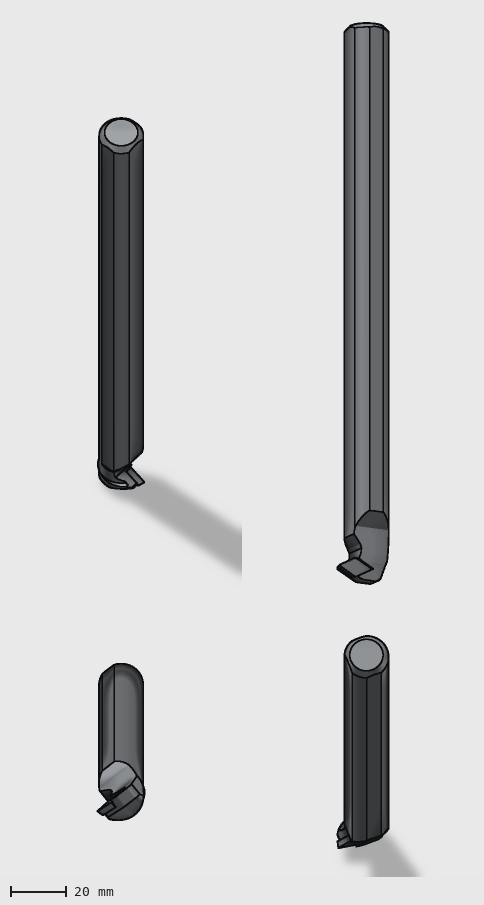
import cadquery as cq
import math

TOP_Z = 200.0
BOTTOM_Z = -5.05
LENGTH = TOP_Z - BOTTOM_Z
SHANK_RADIUS = 8.0
SIDE_FLAT_X = 7.0
BACK_FLAT_Y = 7.5
FRONT_FLAT_Y = -7.5
FRONT_FLAT_BOTTOM_Z = 6.0
TOP_CHAMFER = 2.0
FAR = 30.0

HEAD_TOP_Z = 3.0
COLLAR_FLARE = 0.45
FOOT_RADIUS = 9.45
FOOT_TOP_Z = 0.7
FOOT_FRONT_Y = -9.1
FOOT_CENTER_X = FOOT_RADIUS - SHANK_RADIUS
FOOT_CENTER_Y = FOOT_FRONT_Y + FOOT_RADIUS
WEB_LEFT_X = 5.0
WEB_FRONT_Y = -5.4
HEAD_NOSE_X = 9.3

GULLET_FLOOR_Y = 0.8
GULLET_FOOT_Z = 1.5
GULLET_LOW = (1.2, 3.5)
GULLET_BEND = (4.3, 13.5)
GULLET_TOP_Z = 19.0

POINT_ANGLE = 55.0
INSCRIBED_RADIUS = 6.35 / 2
NOSE_RADIUS = 0.4
INSERT_THICKNESS = 2.38
CLEARANCE_ANGLE = 7.0
TIP_X = 10.89
TIP_Z = -0.6
HALF_ANGLE = math.radians(POINT_ANGLE / 2)
EDGE_SLOPE = math.tan(HALF_ANGLE)
CORNER_X = TIP_X + NOSE_RADIUS * (1 / math.sin(HALF_ANGLE) - 1)
INSERT_HALF_WIDTH = INSCRIBED_RADIUS / math.sin(HALF_ANGLE)
INSERT_HALF_HEIGHT = INSCRIBED_RADIUS / math.cos(HALF_ANGLE)
INSERT_CENTER_X = CORNER_X - INSERT_HALF_WIDTH
INSERT_OUTLINE = [
    (CORNER_X, TIP_Z),
    (INSERT_CENTER_X, TIP_Z + INSERT_HALF_HEIGHT),
    (INSERT_CENTER_X - INSERT_HALF_WIDTH, TIP_Z),
    (INSERT_CENTER_X, TIP_Z - INSERT_HALF_HEIGHT),
]

NECK_START = (SIDE_FLAT_X, 10.7)
NECK_BEND = (3.9, 7.6)
NECK_X = 3.1
NECK_UPPER_Z = 6.2
NECK_LOWER_Z = 4.2
UPPER_FLANK_INSET = 0.45

BEVEL_ANGLE = math.radians(21)
LOWER_FLANK_INSET = 0.3
UNDERSIDE_LEFT_X = -4.2
UNDERSIDE_LEFT_ANGLE = math.radians(45)
UNDERSIDE_ROUNDING = 1.0
RELIEF_START_Y = -4.0
RELIEF_ANGLE = math.radians(30)


def prism_along_y(points, y_from, y_to):
    """Prism of an (x, z) outline between two y values."""
    return cq.Workplane("XZ", origin=(0, y_to, 0)).polyline(points).close().extrude(y_to - y_from)


def make_shank():
    """Round bar with an end chamfer and flats on +X, +Y and -Y."""
    bar = cq.Workplane("XY", origin=(0, 0, BOTTOM_Z)).circle(SHANK_RADIUS).extrude(LENGTH)
    bar = bar.faces(">Z").chamfer(TOP_CHAMFER)
    bar = bar.cut(cq.Workplane("XY").box(FAR, 2 * FAR, 3 * LENGTH).translate((SIDE_FLAT_X + FAR / 2, 0, 0)))
    bar = bar.cut(cq.Workplane("XY").box(2 * FAR, FAR, 3 * LENGTH).translate((0, BACK_FLAT_Y + FAR / 2, 0)))
    front_cut = (
        cq.Workplane("XY", origin=(0, FRONT_FLAT_Y - FAR / 2, FRONT_FLAT_BOTTOM_Z))
        .rect(2 * FAR, FAR)
        .extrude(LENGTH)
    )
    return bar.cut(front_cut)


def make_collar():
    """Cone that flares from the shank down to the foot."""
    return (
        cq.Workplane("XY", origin=(0, 0, HEAD_TOP_Z))
        .circle(SHANK_RADIUS)
        .workplane(offset=FOOT_TOP_Z - HEAD_TOP_Z)
        .circle(SHANK_RADIUS + COLLAR_FLARE)
        .loft()
    )


def make_foot_disc(top_z):
    return (
        cq.Workplane("XY", origin=(FOOT_CENTER_X, FOOT_CENTER_Y, BOTTOM_Z))
        .circle(FOOT_RADIUS)
        .extrude(top_z - BOTTOM_Z)
    )


def make_web():
    """Taller part of the foot that backs the insert's upper edge."""
    keep = cq.Workplane("XY").box(FAR, FAR, FAR, centered=False).translate((WEB_LEFT_X, WEB_FRONT_Y, -FAR / 2))
    return make_foot_disc(HEAD_TOP_Z).intersect(keep)


def make_gullet():
    points = [
        (GULLET_FLOOR_Y, -FAR),
        (GULLET_FLOOR_Y, GULLET_FOOT_Z),
        GULLET_LOW,
        GULLET_BEND,
        (BACK_FLAT_Y, GULLET_TOP_Z),
        (FAR, GULLET_TOP_Z),
        (FAR, -FAR),
    ]
    return cq.Workplane("YZ").polyline(points).close().extrude(FAR, both=True)


def make_neck_cut():
    """Clearance beside the neck, over the upper flank and ahead of the head's blunt nose."""
    flank_end_x = CORNER_X - UPPER_FLANK_INSET / math.sin(HALF_ANGLE)
    flank_start_x = flank_end_x - (HEAD_TOP_Z - TIP_Z) / EDGE_SLOPE
    nose_z = TIP_Z + (flank_end_x - HEAD_NOSE_X) * EDGE_SLOPE
    points = [
        NECK_START,
        NECK_BEND,
        (NECK_X, NECK_UPPER_Z),
        (NECK_X, NECK_LOWER_Z),
        (flank_start_x, HEAD_TOP_Z),
        (HEAD_NOSE_X, nose_z),
        (HEAD_NOSE_X, -FAR),
        (FAR, -FAR),
        (FAR, NECK_START[1]),
    ]
    return prism_along_y(points, -FAR, FAR)


def make_left_bevel():
    run = (HEAD_TOP_Z + FAR) * math.tan(BEVEL_ANGLE)
    points = [
        (-SHANK_RADIUS, HEAD_TOP_Z),
        (-SHANK_RADIUS + run, -FAR),
        (-FAR, -FAR),
        (-FAR, HEAD_TOP_Z),
    ]
    return prism_along_y(points, -FAR, FAR)


def make_underside_face():
    """Area below the head on the plane where the relief starts, with both lower corners rounded."""
    rounding = UNDERSIDE_ROUNDING
    flank_end_x = CORNER_X - LOWER_FLANK_INSET / math.sin(HALF_ANGLE)
    right_x = flank_end_x - (TIP_Z - BOTTOM_Z) / EDGE_SLOPE
    left_run = UNDERSIDE_LEFT_X + FAR
    left_dx = rounding * math.cos(UNDERSIDE_LEFT_ANGLE)
    left_dz = rounding * math.sin(UNDERSIDE_LEFT_ANGLE)
    right_dx = rounding * math.cos(HALF_ANGLE)
    right_dz = rounding * math.sin(HALF_ANGLE)
    return (
        cq.Workplane("XZ", origin=(0, RELIEF_START_Y, 0))
        .moveTo(-FAR, BOTTOM_Z + left_run * math.tan(UNDERSIDE_LEFT_ANGLE))
        .lineTo(UNDERSIDE_LEFT_X - left_dx, BOTTOM_Z + left_dz)
        .tangentArcPoint((UNDERSIDE_LEFT_X + rounding, BOTTOM_Z), relative=False)
        .lineTo(right_x - rounding, BOTTOM_Z)
        .tangentArcPoint((right_x + right_dx, BOTTOM_Z + right_dz), relative=False)
        .lineTo(flank_end_x, TIP_Z)
        .lineTo(FAR, TIP_Z)
        .lineTo(FAR, -FAR)
        .lineTo(-FAR, -FAR)
        .close()
    )


def make_underside_cut():
    """Cutter that runs straight at the back and climbs toward -Y to give the heel relief."""
    straight = make_underside_face().extrude(-FAR)
    outline = make_underside_face().wires().val()
    climb = cq.Vector(0, -FAR, FAR * math.tan(RELIEF_ANGLE))
    return straight, cq.Workplane(cq.Solid.extrudeLinear(outline, [], climb))


def make_insert():
    blank = (
        cq.Workplane("XZ")
        .polyline(INSERT_OUTLINE)
        .close()
        .extrude(INSERT_THICKNESS, taper=CLEARANCE_ANGLE)
    )
    return blank.edges("(<X or >X) and (not #Y)").fillet(NOSE_RADIUS)


def make_holder(insert):
    holder = make_shank().union(make_collar()).union(make_foot_disc(FOOT_TOP_Z)).union(make_web())
    holder = holder.cut(make_gullet()).cut(make_neck_cut()).cut(make_left_bevel())
    for cutter in make_underside_cut():
        holder = holder.cut(cutter)
    pocket_mouth = prism_along_y(INSERT_OUTLINE, 0, FAR)
    return holder.cut(pocket_mouth).cut(insert)


insert = make_insert()
holder = make_holder(insert)
result = cq.Compound.makeCompound([holder.val(), insert.val()])